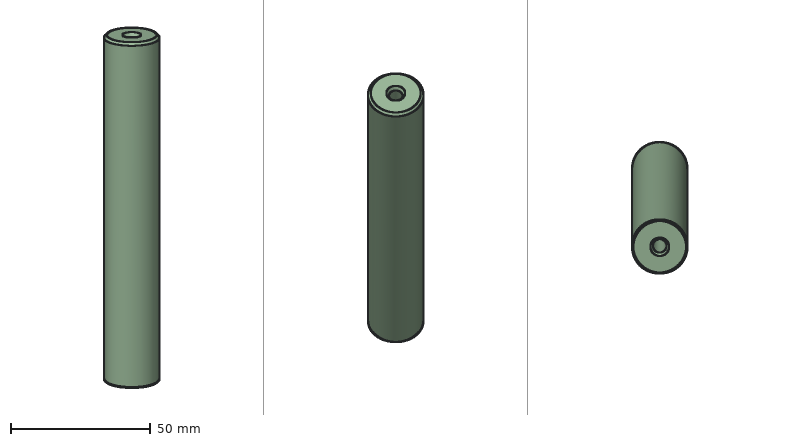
import cadquery as cq

length = 130.0
diameter = 20.0
top_chamfer = 1.0
bottom_chamfer = 0.5

bore_diameter = 5.0
mouth_diameter = 6.8
mouth_angle = 60.0


def make_rod():
    """Solid rod standing on the origin along Z, with a larger chamfer on its top rim."""
    rod = cq.Workplane("XY").circle(diameter / 2).extrude(length)
    rod = rod.faces(">Z").edges().chamfer(top_chamfer)
    return rod.faces("<Z").edges().chamfer(bottom_chamfer)


def drill_bore(rod):
    """Through bore along the axis, countersunk from both ends."""
    for end in (">Z", "<Z"):
        rod = rod.faces(end).workplane().cskHole(bore_diameter, mouth_diameter, mouth_angle)
    return rod


result = drill_bore(make_rod())